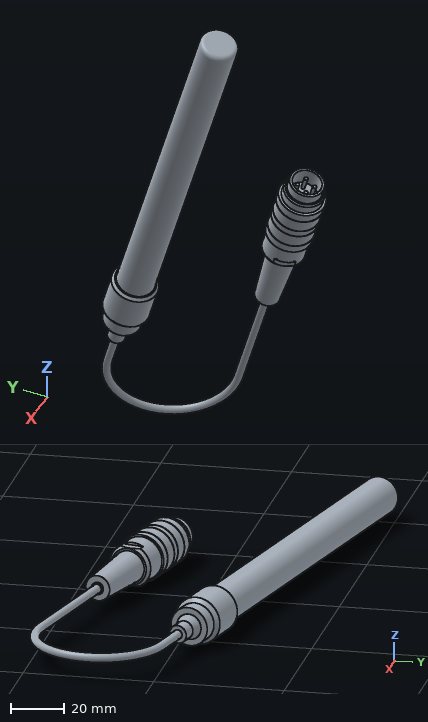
import cadquery as cq
import math

TILT = -13.15

CABLE_DIA = 3.5
BEND_RADIUS = 25.0
BEND_X = 194.5
PLUG_Y = -2 * BEND_RADIUS

PROBE_DIA = 15.0
NOSE_FILLET = 2.0
NUT_START = 146.1
NUT_END = 164.4
NUT_DIA = 18.5
NUT_FRONT_DIA = 16.0
NUT_FRONT_CHAMFER = (NUT_DIA - NUT_FRONT_DIA) / 2
NUT_REAR_CHAMFER = (NUT_DIA - PROBE_DIA) / 2
PROBE_BODY_END = 170.3
SLEEVE_CONE_DIA = 10.0
SLEEVE_CONE_END = 174.3
SLEEVE_DIA = 7.0
SLEEVE_END = 180.2
LOCK_HOLE_DIA = 1.5
LOCK_HOLE_DEPTH = 2.1
LOCK_HOLE_PLACES = (143.5, 168.0)

PLUG_START = 74.5
SHROUD_DIA = 13.5
SHROUD_BORE_DIA = 11.5
SHROUD_BORE_DEPTH = 7.5
COLLAR_START = 78.8
COLLAR_DIA = 16.0
COLLAR_CHAMFER = 0.6
GRIP_START = 83.0
GRIP_END = 105.5
GRIP_DIA = 18.5
GRIP_BAND_DIA = 18.2
GRIP_BANDS = ((87.0, 92.8), (96.0, 101.9))
REAR_COLLAR_DIA = 17.0
REAR_COLLAR_END = 116.7
REAR_COLLAR_CHAMFER = 1.3
FLAT_START = 112.9
FLAT_HEIGHT = 7.5
BOOT_START_DIA = 12.7
BOOT_END_DIA = 10.0
BOOT_END = 144.2
BOOT_TIP_DIA = 4.7
BOOT_TIP_END = 144.9
PIN_COUNT = 4
PIN_DIA = 1.5
PIN_CIRCLE_DIA = 6.5
PIN_TIP_DEPTH = 2.0


def rod(x_start, x_end, dia, y=0.0, z=0.0):
    """Cylinder along X from x_start to x_end."""
    return cq.Workplane("YZ", origin=(x_start, y, z)).circle(dia / 2).extrude(x_end - x_start)


def cone(x_start, x_end, start_dia, end_dia, y=0.0):
    """Truncated cone along X."""
    return (
        cq.Workplane("YZ", origin=(x_start, y, 0))
        .circle(start_dia / 2)
        .workplane(offset=x_end - x_start)
        .circle(end_dia / 2)
        .loft(ruled=True)
    )


def tilted(body):
    return body.rotate((0, 0, 0), (0, 0, 1), TILT)


def make_probe():
    tube = rod(0, PROBE_BODY_END, PROBE_DIA).faces("<X").edges().fillet(NOSE_FILLET)
    nut = (
        rod(NUT_START, NUT_END, NUT_DIA)
        .faces("<X").edges().chamfer(NUT_FRONT_CHAMFER)
        .faces(">X").edges().chamfer(NUT_REAR_CHAMFER)
    )
    sleeve_cone = cone(PROBE_BODY_END, SLEEVE_CONE_END, SLEEVE_CONE_DIA, SLEEVE_DIA)
    sleeve = rod(SLEEVE_CONE_END, SLEEVE_END, SLEEVE_DIA)
    probe = tube.union(nut).union(sleeve_cone).union(sleeve)

    for x in LOCK_HOLE_PLACES:
        hole = (
            cq.Workplane("XZ", origin=(x, -PROBE_DIA / 2, 0))
            .circle(LOCK_HOLE_DIA / 2)
            .extrude(LOCK_HOLE_DEPTH, both=True)
        )
        probe = probe.cut(hole)
    return probe


def make_grip():
    grip = rod(GRIP_START, GRIP_END, GRIP_DIA, PLUG_Y)
    for band_start, band_end in GRIP_BANDS:
        band = rod(band_start, band_end, GRIP_DIA, PLUG_Y).cut(rod(band_start, band_end, GRIP_BAND_DIA, PLUG_Y))
        grip = grip.cut(band)
    return grip


def make_rear_collar():
    """Collar behind the grip, chamfered at the rear, with a wrench flat above and below."""
    collar = (
        rod(GRIP_END, REAR_COLLAR_END, REAR_COLLAR_DIA, PLUG_Y)
        .faces(">X").edges().chamfer(REAR_COLLAR_CHAMFER)
    )
    flat_length = REAR_COLLAR_END - FLAT_START
    flat_cut_height = REAR_COLLAR_DIA / 2 - FLAT_HEIGHT
    for side in (-1, 1):
        flat_cut = cq.Workplane("XY").box(flat_length, REAR_COLLAR_DIA, flat_cut_height).translate(
            (FLAT_START + flat_length / 2, PLUG_Y, side * (FLAT_HEIGHT + flat_cut_height / 2))
        )
        collar = collar.cut(flat_cut)
    return collar


def make_plug():
    shroud = rod(PLUG_START, COLLAR_START, SHROUD_DIA, PLUG_Y)
    collar = (
        rod(COLLAR_START, GRIP_START, COLLAR_DIA, PLUG_Y)
        .faces("<X").edges().chamfer(COLLAR_CHAMFER)
    )
    boot = cone(REAR_COLLAR_END, BOOT_END, BOOT_START_DIA, BOOT_END_DIA, PLUG_Y)
    boot_tip = rod(BOOT_END, BOOT_TIP_END, BOOT_TIP_DIA, PLUG_Y)
    plug = shroud.union(collar).union(make_grip()).union(make_rear_collar()).union(boot).union(boot_tip)

    bore_floor = PLUG_START + SHROUD_BORE_DEPTH
    plug = plug.cut(rod(PLUG_START, bore_floor, SHROUD_BORE_DIA, PLUG_Y))

    for i in range(PIN_COUNT):
        angle = math.radians(i * 360 / PIN_COUNT)
        pin_y = PLUG_Y + PIN_CIRCLE_DIA / 2 * math.cos(angle)
        pin_z = PIN_CIRCLE_DIA / 2 * math.sin(angle)
        plug = plug.union(rod(PLUG_START + PIN_TIP_DEPTH, bore_floor + PIN_DIA, PIN_DIA, pin_y, pin_z))
    return plug


def make_cable():
    """Straight run from the probe sleeve, a half-turn, and a straight run to the boot tip."""
    path = (
        cq.Workplane("XY")
        .moveTo(SLEEVE_END, 0)
        .lineTo(BEND_X, 0)
        .threePointArc((BEND_X + BEND_RADIUS, -BEND_RADIUS), (BEND_X, PLUG_Y))
        .lineTo(BOOT_TIP_END, PLUG_Y)
    )
    return cq.Workplane("YZ", origin=(SLEEVE_END, 0, 0)).circle(CABLE_DIA / 2).sweep(path)


probe = tilted(make_probe())
cable = tilted(make_cable())
plug = tilted(make_plug())

result = cq.Compound.makeCompound([probe.val(), cable.val(), plug.val()])